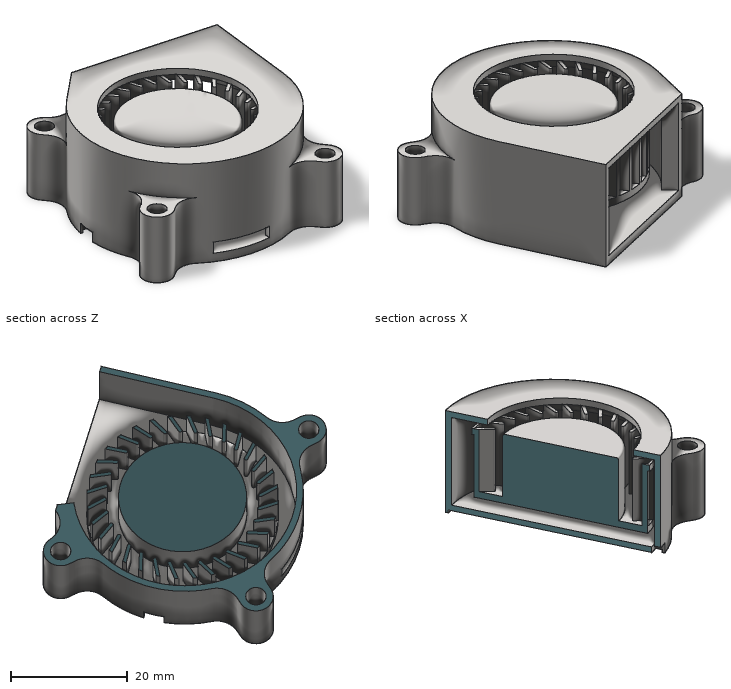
import cadquery as cq
import math


casing_radius = 20.3
casing_height = 19.6
outlet_reach = 20.32
outlet_width = 30.0
wall = 1.2
top_plate = 1.2
floor_thickness = 1.7
cavity_radius = casing_radius - wall
cavity_height = casing_height - floor_thickness - top_plate

outlet_corner_y = casing_radius - outlet_width
slant_angle = 2 * math.atan2(-outlet_corner_y, outlet_reach)
slant_normal = cq.Vector(-math.cos(slant_angle), -math.sin(slant_angle), 0)

tongue_wall = 1.25
tongue_rise = 1.15
tongue_mouth_y = outlet_corner_y + tongue_wall
tongue_tip_y = tongue_mouth_y + tongue_rise

hole_offset = 17.3
hole_diameter = 3.4
boss_radius = 3.0
ear_height = 12.9
ear_fillet = 4.0
ear_angles = (45, -45)
outlet_ear_angle = -135

recess_depth = 0.55
recess_radius = casing_radius - 0.5
notch_width = 3.6
notch_height = 1.9
notch_depth = 1.7
window_width = 11.0
window_height = 2.2

axis_y = -1.42
inlet_radius = 13.75
impeller_bottom = 4.05
impeller_top = 17.25
disc_thickness = 1.35
disc_radius = 16.4
ring_height = 1.25
ring_outer_radius = 16.8
ring_inner_radius = 16.3
hub_radius = 11.0
hub_top = 17.4
hub_fillet = 0.5
blade_count = 32
blade_thickness = 0.7
blade_tip_radius = 13.0
blade_lean = 30.0
blade_length = 6.0


def casing_outline():
    touch = slant_normal * casing_radius
    middle_angle = (slant_angle - math.pi / 2) / 2
    return (
        cq.Workplane("XY")
        .moveTo(-outlet_reach, outlet_corner_y)
        .lineTo(-outlet_reach, casing_radius)
        .lineTo(0, casing_radius)
        .threePointArc(
            (casing_radius * math.cos(middle_angle), casing_radius * math.sin(middle_angle)),
            (touch.x, touch.y),
        )
        .close()
    )


def diagonal_side(side):
    """Fillet start, middle and end, then boss tangent point, of one side of an ear along +X."""
    boss_distance = hole_offset * math.sqrt(2)
    center_y = boss_radius + ear_fillet
    center_distance = casing_radius + ear_fillet
    center_x = math.sqrt(center_distance**2 - center_y**2)
    start_angle = math.atan2(-center_y, -center_x)
    middle_angle = (start_angle - math.pi / 2) / 2
    fillet = [
        (center_x + ear_fillet * math.cos(a), side * (center_y + ear_fillet * math.sin(a)))
        for a in (start_angle, middle_angle, -math.pi / 2)
    ]
    return fillet + [(boss_distance, side * boss_radius)]


def diagonal_ear():
    """An ear pointing along +X, from the casing centre out to its boss."""
    lower = diagonal_side(-1)
    upper = diagonal_side(1)
    tip = (hole_offset * math.sqrt(2) + boss_radius, 0)
    return (
        cq.Workplane("XY")
        .lineTo(*lower[0])
        .threePointArc(lower[1], lower[2])
        .lineTo(*lower[3])
        .threePointArc(tip, upper[3])
        .lineTo(*upper[2])
        .threePointArc(upper[1], upper[0])
        .close()
        .extrude(ear_height)
    )


def outlet_ear():
    """The ear at (-X, -Y): one side like the other ears, the other blended into the slanted side."""
    boss = cq.Vector(-hole_offset, -hole_offset, 0)
    corner = cq.Vector(-outlet_reach, outlet_corner_y, 0)
    reach = boss - corner
    blend_radius = (reach.dot(reach) - boss_radius**2) / (2 * (boss_radius + reach.dot(slant_normal)))
    center = corner + slant_normal * blend_radius
    to_boss = (boss - center).normalized()
    blend_end = center + to_boss * blend_radius
    blend_middle = center + (to_boss - slant_normal).normalized() * blend_radius

    turn = math.radians(outlet_ear_angle)
    round_side = [
        (x * math.cos(turn) - y * math.sin(turn), x * math.sin(turn) + y * math.cos(turn))
        for x, y in diagonal_side(1)
    ]
    boss_tip = boss + boss.normalized() * boss_radius
    return (
        cq.Workplane("XY")
        .lineTo(corner.x, corner.y)
        .threePointArc((blend_middle.x, blend_middle.y), (blend_end.x, blend_end.y))
        .threePointArc((boss_tip.x, boss_tip.y), round_side[3])
        .lineTo(*round_side[2])
        .threePointArc(round_side[1], round_side[0])
        .close()
        .extrude(ear_height)
    )


def ear_holes():
    centers = [(hole_offset, hole_offset), (hole_offset, -hole_offset), (-hole_offset, -hole_offset)]
    return cq.Workplane("XY").pushPoints(centers).circle(hole_diameter / 2).extrude(ear_height)


def cavity():
    """The round volute chamber with the passage to the outlet."""
    tongue_tip_x = -math.sqrt(cavity_radius**2 - tongue_tip_y**2)
    floor_plane = cq.Workplane("XY").workplane(offset=floor_thickness)
    chamber = floor_plane.circle(cavity_radius).extrude(cavity_height)
    passage = (
        floor_plane.moveTo(-outlet_reach, tongue_mouth_y)
        .lineTo(-outlet_reach, cavity_radius)
        .lineTo(0, cavity_radius)
        .lineTo(0, tongue_tip_y)
        .lineTo(tongue_tip_x, tongue_tip_y)
        .close()
        .extrude(cavity_height)
    )
    return chamber.union(passage)


def inlet():
    plane = cq.Workplane("XY").workplane(offset=casing_height - top_plate)
    return plane.center(0, axis_y).circle(inlet_radius).extrude(top_plate)


def lead_notch():
    """Notch through the bottom edge of the -Y wall, with a back face concentric to the wall."""
    block = cq.Workplane("XY").box(notch_width, casing_radius, notch_height, centered=(True, False, False))
    block = block.translate((0, -casing_radius, 0))
    return block.cut(cq.Workplane("XY").circle(casing_radius - notch_depth).extrude(notch_height))


def wall_window():
    """Window through the +X wall, level with the floor and under the impeller."""
    window = cq.Workplane("XY").box(casing_radius, window_width, window_height, centered=(False, True, False))
    return window.translate((0, axis_y, floor_thickness))


def label_recess():
    return cq.Workplane("XY").circle(recess_radius).extrude(recess_depth)


def make_casing():
    body = casing_outline().extrude(casing_height)
    for angle in ear_angles:
        body = body.union(diagonal_ear().rotate((0, 0, 0), (0, 0, 1), angle))
    body = body.union(outlet_ear())
    for opening in (ear_holes(), cavity(), inlet(), lead_notch(), wall_window(), label_recess()):
        body = body.cut(opening)
    return body


def make_blades():
    """Straight leaning blades with rounded inner ends, trimmed to the disc radius."""
    bottom = impeller_bottom + disc_thickness
    height = impeller_top - bottom
    half = blade_thickness / 2
    blade = (
        cq.Workplane("XY")
        .moveTo(0, -half)
        .lineTo(blade_length, -half)
        .lineTo(blade_length, half)
        .lineTo(0, half)
        .threePointArc((-half, 0), (0, -half))
        .close()
        .extrude(height)
        .rotate((0, 0, 0), (0, 0, 1), blade_lean)
        .translate((blade_tip_radius + half, 0, bottom))
        .intersect(cq.Workplane("XY").circle(disc_radius).extrude(impeller_top))
    )
    pitch = 360 / blade_count
    return [blade.rotate((0, 0, 0), (0, 0, 1), (i + 0.5) * pitch) for i in range(blade_count)]


def make_impeller():
    base = cq.Workplane("XY").workplane(offset=impeller_bottom)
    hub = base.circle(hub_radius).extrude(hub_top - impeller_bottom).faces(">Z").edges().fillet(hub_fillet)
    rotor = base.circle(disc_radius).extrude(disc_thickness).union(hub)
    for blade in make_blades():
        rotor = rotor.union(blade)
    ring = (
        cq.Workplane("XY")
        .workplane(offset=impeller_top - ring_height)
        .circle(ring_outer_radius)
        .circle(ring_inner_radius)
        .extrude(ring_height)
    )
    return rotor.union(ring).translate((0, axis_y, 0))


casing = make_casing()
impeller = make_impeller()
result = cq.Compound.makeCompound([casing.val(), impeller.val()])